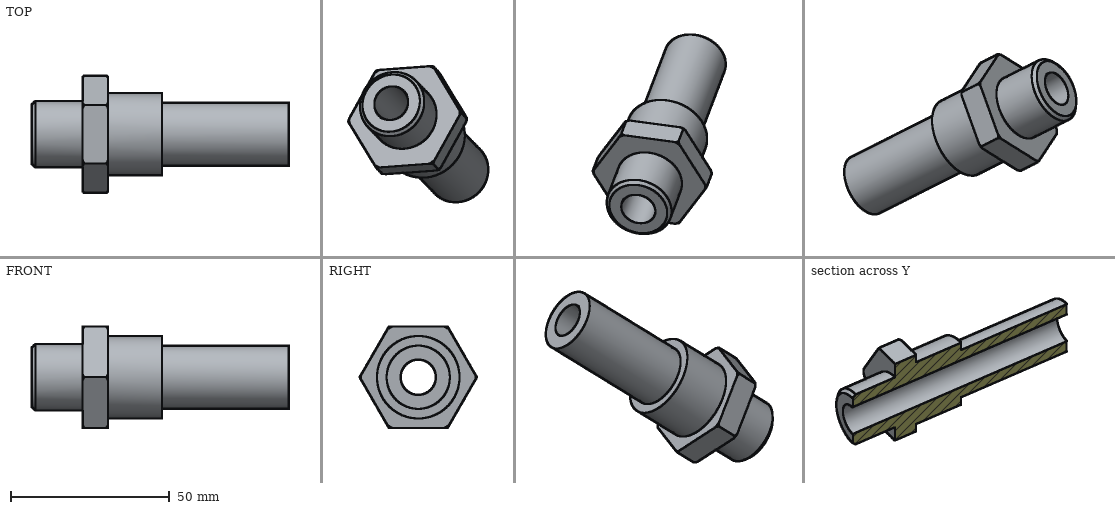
import cadquery as cq
import math

total_length = 81.0
thread_length = 16.0
hex_width = 8.0
collar_length = 17.0
tube_length = total_length - thread_length - hex_width - collar_length

thread_diameter = 21.0
collar_diameter = 26.0
tube_diameter = 19.9
bore_diameter = 11.0
across_flats = 32.0
across_corners = across_flats / math.cos(math.pi / 6)

thread_chamfer = 1.1
corner_chamfer_radial = 0.5
corner_chamfer_axial = 0.5


def cylinder(start, length, diameter):
    """Solid cylinder on the X axis."""
    return cq.Workplane("YZ", origin=(start, 0, 0)).circle(diameter / 2).extrude(length)


def hexagon():
    """Wrench hexagon with corners on Y, its corners bevelled by cones on both faces."""
    start = thread_length
    end = start + hex_width
    prism = cq.Workplane("YZ", origin=(start, 0, 0)).polygon(6, across_corners).extrude(hex_width)
    outer_radius = across_corners / 2
    face_radius = outer_radius - corner_chamfer_radial
    envelope = (
        cq.Workplane("XY")
        .moveTo(start, 0)
        .lineTo(start, face_radius)
        .lineTo(start + corner_chamfer_axial, outer_radius)
        .lineTo(end - corner_chamfer_axial, outer_radius)
        .lineTo(end, face_radius)
        .lineTo(end, 0)
        .close()
        .revolve(360, (0, 0, 0), (1, 0, 0))
    )
    return prism.intersect(envelope)


thread = cylinder(0, thread_length, thread_diameter).faces("<X").chamfer(thread_chamfer)
collar_start = thread_length + hex_width
collar = cylinder(collar_start, collar_length, collar_diameter)
tube = cylinder(collar_start + collar_length, tube_length, tube_diameter)
bore = cylinder(0, total_length, bore_diameter)

result = thread.union(hexagon()).union(collar).union(tube).cut(bore)